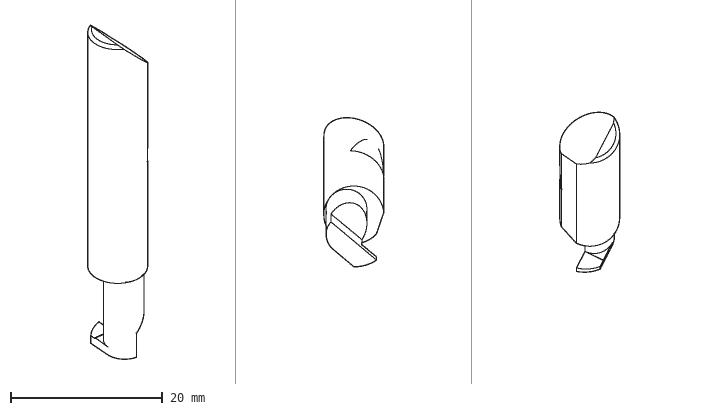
import cadquery as cq
import math

total_length = 50.8
shank_radius = 3.95
shank_bottom = 12.75
chamfer_width = 0.5
chamfer_height = 0.4
slant_start_y = -2.2
side_flat_angle = 157.5
side_flat_half_angle = 22.5

notch_top = 37.6
notch_root = 29.95
notch_bottom = 29.1
notch_root_y = 2.7

neck_radius = 2.7
neck_x = shank_radius - neck_radius
rake_runout_z = 4.05

head_top = 1.65
tip_x = -shank_radius
heel_x = -2.35
flank_radius = 5.1
top_relief_end_x = neck_x - neck_radius
top_relief_slope = 0.06
bottom_relief_slope_x = 0.03
bottom_relief_slope_y = 0.06

reach = 2 * shank_radius


def prism_along_x(points):
    """Extrude a (Y, Z) outline across the whole part."""
    return cq.Workplane("YZ").polyline(points).close().extrude(reach, both=True)


def make_shank():
    shank_length = total_length - shank_bottom
    shank = cq.Workplane("XY", origin=(0, 0, shank_bottom)).circle(shank_radius).extrude(shank_length)
    shank = shank.faces(">Z").edges().chamfer(chamfer_height, chamfer_width)

    slant_end_z = total_length + slant_start_y - reach
    slant = prism_along_x([(slant_start_y, total_length), (reach, slant_end_z), (reach, total_length)])

    flat_distance = shank_radius * math.cos(math.radians(side_flat_half_angle))
    side_flat = (
        cq.Workplane("XY")
        .box(reach, reach, total_length, centered=(False, True, False))
        .translate((flat_distance, 0, 0))
        .rotate((0, 0, 0), (0, 0, 1), side_flat_angle)
    )

    notch = prism_along_x(
        [(shank_radius, notch_top), (notch_root_y, notch_root), (shank_radius, notch_bottom)]
    )
    return shank.cut(slant).cut(side_flat).cut(notch)


def make_neck():
    neck = cq.Workplane("XY").center(neck_x, 0).circle(neck_radius).extrude(shank_bottom)
    rake = prism_along_x([(0, 0), (0, rake_runout_z), (reach, rake_runout_z + reach), (reach, 0)])
    return neck.cut(rake)


def make_head():
    """Hooked tip with a curved flank and a back face tangent to the neck."""
    head = (
        cq.Workplane("XY")
        .moveTo(neck_x, 0)
        .lineTo(tip_x, 0)
        .radiusArc((heel_x, -neck_radius), -flank_radius)
        .lineTo(neck_x, -neck_radius)
        .close()
        .extrude(head_top)
    )
    top_relief = (
        cq.Workplane("YZ", origin=(top_relief_end_x, 0, 0))
        .polyline([(0, head_top), (-reach, head_top), (-reach, head_top - top_relief_slope * reach)])
        .close()
        .extrude(-reach)
    )
    return head.cut(top_relief)


def make_bottom_relief():
    """Everything below a plane rising from the tip towards +X and -Y."""
    relief_plane = cq.Plane(
        origin=(tip_x, 0, 0),
        xDir=(1, 0, bottom_relief_slope_x),
        normal=(-bottom_relief_slope_x, bottom_relief_slope_y, 1),
    )
    return cq.Workplane(relief_plane).rect(4 * reach, 4 * reach).extrude(-reach)


tool_tip = make_neck().union(make_head()).cut(make_bottom_relief())
result = make_shank().union(tool_tip)